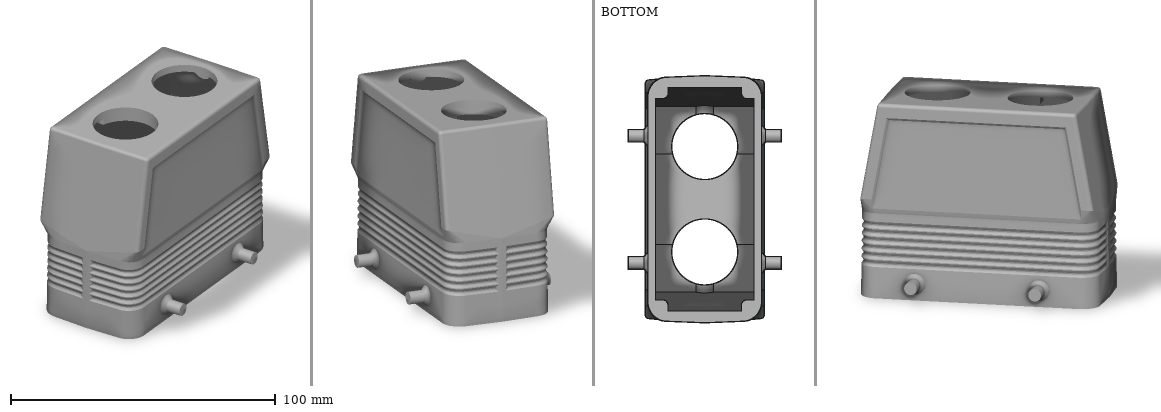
import cadquery as cq

HEIGHT = 76.0
BASE_HALF_WIDTH = 21.5
BASE_HALF_LENGTH = 46.75
BASE_END_SLOPE = 0.04
BASE_CORNER_RADIUS = 7.0

NECK_INSET = 0.4
NECK_TOP = 33.1
GROOVE_COUNT = 6
GROOVE_PITCH = 3.0
FIRST_GROOVE_Z = 13.5
GROOVE_DEPTH = 0.75
GROOVE_FLOOR = 0.5
GROOVE_OPENING = 2.6
SPINE_WIDTH = 2.9
SPINE_FOOT_WIDTH = 5.05

HOOD_HALF_WIDTH = 22.5
HOOD_LEAN = 0.18
HOOD_END_SLOPE = 0.013
HOOD_EDGE_RADIUS = 1.4
FLARE_TOP = 38.7

PANEL_DEPTH = 0.9
PANEL_TOP = 70.7
PANEL_END_MARGIN = 4.9
PANEL_BEVEL = 0.9

ENTRY_RADIUS = 12.4
ENTRY_OFFSET = 19.9

PEG_RADIUS = 2.4
PEG_TIP_X = 29.0
PEG_OFFSET = 24.0
PEG_Z = 6.4
PEG_COLLAR_RADIUS = 4.0
PEG_COLLAR_LENGTH = 1.5

SLAB_WIDTH = 56.1
SLAB_LENGTH = 112.2

CAVITY_HALF_WIDTH = 18.7
END_WALL = 4.1
ROOF = 2.9
ROOF_PAD = 5.7
ROOF_PAD_HALF_LENGTH = 17.0
ROOF_RIDGE_DEPTH = 4.8
ROOF_RIDGE_RADIUS = 3.8
POST_FACE_Y = 38.1
POST_INNER_X = 13.8
POST_RADIUS = 2.1


def hood_end(z):
    """Y of the hood's end ridge at height z."""
    return BASE_HALF_LENGTH - NECK_INSET - HOOD_LEAN * (z - NECK_TOP)


def ridged_outline(z, half_width, half_length, slope):
    """Horizontal rectangle whose two ends rise to a shallow ridge at X = 0."""
    side_y = half_length - slope * half_width
    points = [
        (half_width, -side_y),
        (half_width, side_y),
        (0, half_length),
        (-half_width, side_y),
        (-half_width, -side_y),
        (0, -half_length),
    ]
    return cq.Wire.makePolygon([cq.Vector(x, y, z) for x, y in points], close=True)


def rounded_outline(z, half_width, half_length, slope, radius):
    """Ridged outline with its four outer corners rounded."""
    outline = ridged_outline(z, half_width, half_length, slope)
    corners = [v for v in outline.Vertices() if abs(v.X) > half_width / 2]
    return outline.fillet2D(radius, corners)


def draft_inset(z):
    """Inward draft of the base walls at height z."""
    return NECK_INSET * z / NECK_TOP


def base_outline(z, depth=0.0):
    """Outline of the drafted base at height z, sunk by depth below its surface."""
    inset = draft_inset(z) + depth
    return rounded_outline(
        z,
        BASE_HALF_WIDTH - inset,
        BASE_HALF_LENGTH - inset,
        BASE_END_SLOPE,
        BASE_CORNER_RADIUS - inset,
    )


def between(lower, upper):
    """Straight-sided solid between two outlines."""
    return cq.Workplane(cq.Solid.makeLoft([lower, upper], True))


def slab(bottom, top):
    """Horizontal slice of space, wider and longer than the whole body."""
    return cq.Workplane().workplane(offset=bottom).rect(SLAB_WIDTH, SLAB_LENGTH).extrude(top - bottom)


def spine_outline(z):
    """Section of a bar along Y that widens from each end face down to the groove floor."""
    face_y = BASE_HALF_LENGTH - draft_inset(z)
    foot_y = face_y - GROOVE_DEPTH
    tip = SPINE_WIDTH / 2
    foot = SPINE_FOOT_WIDTH / 2
    points = [
        (tip, -face_y),
        (foot, -foot_y),
        (foot, foot_y),
        (tip, face_y),
        (-tip, face_y),
        (-foot, foot_y),
        (-foot, -foot_y),
        (-tip, -face_y),
    ]
    return cq.Wire.makePolygon([cq.Vector(x, y, z) for x, y in points], close=True)


def groove(z):
    """V groove with a flat floor that runs around the body, apart from the spines."""
    bottom, top = z - GROOVE_OPENING / 2, z + GROOVE_OPENING / 2
    floor_bottom, floor_top = z - GROOVE_FLOOR / 2, z + GROOVE_FLOOR / 2
    kept = (
        between(base_outline(bottom), base_outline(floor_bottom, GROOVE_DEPTH))
        .union(between(base_outline(floor_bottom, GROOVE_DEPTH), base_outline(floor_top, GROOVE_DEPTH)))
        .union(between(base_outline(floor_top, GROOVE_DEPTH), base_outline(top)))
        .union(between(spine_outline(bottom), spine_outline(top)))
    )
    return slab(bottom, top).cut(kept)


def make_base():
    """Drafted base up to the neck, with the ribs left between its grooves."""
    body = between(base_outline(0), base_outline(NECK_TOP))
    for i in range(GROOVE_COUNT):
        body = body.cut(groove(FIRST_GROOVE_Z + i * GROOVE_PITCH))
    return body


def make_flare():
    """Transition from the rounded neck out to the sharper hood corners."""
    hood_corner_y = hood_end(FLARE_TOP) - HOOD_END_SLOPE * HOOD_HALF_WIDTH
    top_half_length = hood_corner_y + BASE_END_SLOPE * HOOD_HALF_WIDTH
    top = rounded_outline(FLARE_TOP, HOOD_HALF_WIDTH, top_half_length, BASE_END_SLOPE, HOOD_EDGE_RADIUS)
    return between(base_outline(NECK_TOP), top)


def make_hood():
    """Tapered hood with rounded edges, standing on the flare."""
    hood = between(
        ridged_outline(NECK_TOP, HOOD_HALF_WIDTH, hood_end(NECK_TOP), HOOD_END_SLOPE),
        ridged_outline(HEIGHT, HOOD_HALF_WIDTH, hood_end(HEIGHT), HOOD_END_SLOPE),
    )
    side_faces = hood.faces("<X or >X")
    hood = side_faces.edges("not <Z").add(hood.faces(">Z").edges()).fillet(HOOD_EDGE_RADIUS)
    above_flare = hood.intersect(slab(FLARE_TOP, HEIGHT))
    return above_flare.union(hood.intersect(make_flare()))


def panel_outline(x, inset):
    """Trapezoid on a hood side, parallel to the leaning ends and open downwards into the flare."""
    top = PANEL_TOP - inset
    top_y = hood_end(top) - PANEL_END_MARGIN - inset
    bottom_y = hood_end(NECK_TOP) - PANEL_END_MARGIN - inset
    points = [(-bottom_y, NECK_TOP), (bottom_y, NECK_TOP), (top_y, top), (-top_y, top)]
    return cq.Wire.makePolygon([cq.Vector(x, y, z) for y, z in points], close=True)


def make_panel_recess():
    """Shallow bevelled recess in the +X side of the hood."""
    return between(
        panel_outline(HOOD_HALF_WIDTH - PANEL_DEPTH, PANEL_BEVEL),
        panel_outline(HOOD_HALF_WIDTH, 0),
    )


def make_peg(y):
    """Locking peg on the +X side, with a conical collar at its root."""
    root_x = (BASE_HALF_WIDTH + CAVITY_HALF_WIDTH) / 2
    collar_tip_x = BASE_HALF_WIDTH + PEG_COLLAR_LENGTH
    profile = [
        (root_x, 0),
        (root_x, PEG_COLLAR_RADIUS),
        (BASE_HALF_WIDTH, PEG_COLLAR_RADIUS),
        (collar_tip_x, PEG_RADIUS),
        (PEG_TIP_X, PEG_RADIUS),
        (PEG_TIP_X, 0),
    ]
    peg = cq.Workplane("XY").polyline(profile).close().revolve(360, (0, 0, 0), (1, 0, 0))
    return peg.translate((0, y, PEG_Z))


def make_cavity():
    """Hollow that is open at the rim, less the corner posts and the roof's pad and ridges."""
    ceiling = HEIGHT - ROOF
    straight_y = hood_end(NECK_TOP) - END_WALL
    ceiling_y = hood_end(ceiling) - END_WALL
    section = [
        (-straight_y, 0),
        (straight_y, 0),
        (straight_y, NECK_TOP),
        (ceiling_y, ceiling),
        (-ceiling_y, ceiling),
        (-straight_y, NECK_TOP),
    ]
    cavity = cq.Workplane("YZ").polyline(section).close().extrude(CAVITY_HALF_WIDTH, both=True)

    pad_thickness = ROOF_PAD - ROOF
    pad = cq.Workplane().box(2 * CAVITY_HALF_WIDTH, 2 * ROOF_PAD_HALF_LENGTH, pad_thickness)
    cavity = cavity.cut(pad.translate((0, 0, ceiling - pad_thickness / 2)))

    ridge_axis_z = HEIGHT - ROOF_RIDGE_DEPTH + ROOF_RIDGE_RADIUS
    ridge = (
        cq.Workplane("XZ", origin=(0, ENTRY_OFFSET, 0))
        .center(0, ridge_axis_z)
        .circle(ROOF_RIDGE_RADIUS)
        .extrude(ENTRY_OFFSET - BASE_HALF_LENGTH)
    )
    cavity = cavity.cut(ridge).cut(ridge.mirror("XZ"))

    post = (
        cq.Workplane()
        .box(CAVITY_HALF_WIDTH - POST_INNER_X, BASE_HALF_LENGTH - POST_FACE_Y, HEIGHT, centered=False)
        .translate((POST_INNER_X, POST_FACE_Y, 0))
        .edges("|Z and <X and <Y")
        .fillet(POST_RADIUS)
    )
    posts = post.union(post.mirror("YZ"))
    return cavity.cut(posts).cut(posts.mirror("XZ"))


body = make_base().union(make_hood())

recess = make_panel_recess()
body = body.cut(recess).cut(recess.mirror("YZ"))

for peg_y in (-PEG_OFFSET, PEG_OFFSET):
    peg = make_peg(peg_y)
    body = body.union(peg).union(peg.mirror("YZ"))

body = body.cut(make_cavity())

entries = (
    cq.Workplane()
    .workplane(offset=HEIGHT - ROOF_PAD)
    .pushPoints([(0, -ENTRY_OFFSET), (0, ENTRY_OFFSET)])
    .circle(ENTRY_RADIUS)
    .extrude(ROOF_PAD)
)
result = body.cut(entries)